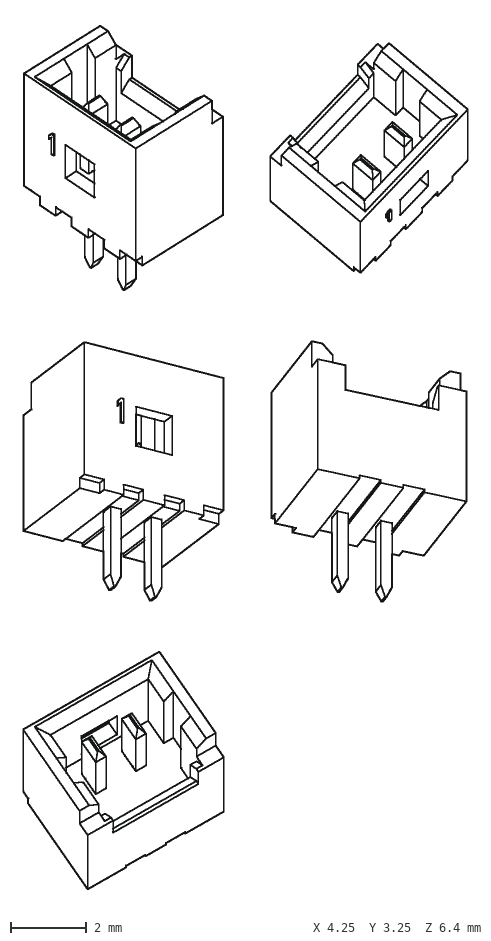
import cadquery as cq

WIDTH = 4.25
DEPTH = 3.2
HEIGHT = 4.2
OVERALL_HEIGHT = 6.4
SIDE_WALL = 0.3
LIP = 0.1
LEAD_IN = 0.3
FLOOR_TOP = 1.28

WALL = LIP + LEAD_IN
CAVITY_BACK = DEPTH - WALL
MOUTH_WIDTH = WIDTH - 2 * SIDE_WALL
CAVITY_WIDTH = MOUTH_WIDTH - 2 * LEAD_IN

SLOT_WIDTH = 0.85

SHOULDER_DROP = 0.79
NOTCH_DROP = 1.55
NOTCH_WIDTH = 2.66
SHOULDER_TOP = HEIGHT - SHOULDER_DROP
NOTCH_BOTTOM = HEIGHT - NOTCH_DROP

WINDOW_WIDTH = 1.1
WINDOW_BOTTOM = 1.535
WINDOW_HEIGHT = 1.15

PITCH = 1.25
TERMINAL_X = (-PITCH / 2, PITCH / 2)
TERMINAL_Y = 1.12
TERMINAL_WIDTH = 0.32
TIP_WIDTH = 0.045
BLADE_DEPTH = 0.705
BLADE_TIP_DEPTH = 0.44
BLADE_TOP = 3.55
BLADE_TIP_HEIGHT = 0.27
TAIL_DEPTH = 0.37
TAIL_TIP_DEPTH = 0.26
TAIL_TIP_HEIGHT = 0.3
TAIL_BOTTOM = HEIGHT - OVERALL_HEIGHT

RECESS_WIDTH = 0.6
RECESS_DEPTH = 0.24
RECESS_HEIGHT = 0.3
GROOVE_HEIGHT = 0.09

MARK_THICKNESS = 0.05
MARK_RIGHT = -0.95
MARK_STEM_WIDTH = 0.09
MARK_FLAG_WIDTH = 0.09
MARK_BOTTOM = 2.1
MARK_TOP = 2.8
MARK_FLAG_TOP = 2.695
MARK_FLAG_BOTTOM = 2.555
MARK_FLAG_ROOT = 2.67


def block(width, y_start, y_end, z_start, z_end, x_centre=0.0):
    """Rectangular block centred on x_centre."""
    size = (width, y_end - y_start, z_end - z_start)
    return cq.Workplane("XY").box(*size, centered=(True, False, False)).translate((x_centre, y_start, z_start))


def side_profile(points, width):
    """Prism with a Y-Z outline, extending equally to both sides of X = 0."""
    return cq.Workplane("YZ").polyline(points).close().extrude(width / 2, both=True)


def shell():
    """Outer body with its rear wall stepped down to the shoulders."""
    outline = [
        (0, 0),
        (DEPTH, 0),
        (DEPTH, SHOULDER_TOP),
        (CAVITY_BACK, SHOULDER_TOP),
        (CAVITY_BACK, HEIGHT),
        (0, HEIGHT),
    ]
    return side_profile(outline, WIDTH)


def cavity():
    """Mating cavity, with slots in both side walls between the guide ribs."""
    centre_y = DEPTH / 2
    main = block(CAVITY_WIDTH, WALL, CAVITY_BACK, FLOOR_TOP, HEIGHT)
    slots = block(MOUTH_WIDTH, centre_y - SLOT_WIDTH / 2, centre_y + SLOT_WIDTH / 2, FLOOR_TOP, HEIGHT)
    return main.union(slots)


def mouth_bevel():
    """Bevels along the front wall and both side walls, running out through the rear step."""
    bevel_bottom = HEIGHT - LEAD_IN
    front_slope = side_profile(
        [(WALL, bevel_bottom), (DEPTH, bevel_bottom), (DEPTH, HEIGHT), (LIP, HEIGHT)], MOUTH_WIDTH
    )
    side_slopes = (
        cq.Workplane("XZ")
        .polyline(
            [
                (-CAVITY_WIDTH / 2, bevel_bottom),
                (CAVITY_WIDTH / 2, bevel_bottom),
                (MOUTH_WIDTH / 2, HEIGHT),
                (-MOUTH_WIDTH / 2, HEIGHT),
            ]
        )
        .close()
        .extrude(-DEPTH)
    )
    return front_slope.intersect(side_slopes)


def rear_bevel(top, width):
    """Wedge that bevels the inner top edge of the rear wall where its top is at the given height."""
    return side_profile([(CAVITY_BACK, top - LEAD_IN), (DEPTH - LIP, top), (CAVITY_BACK, top)], width)


def rear_notch():
    """Central opening in the rear wall with a bevel below it."""
    opening = block(NOTCH_WIDTH, CAVITY_BACK, DEPTH, NOTCH_BOTTOM, SHOULDER_TOP)
    return opening.union(rear_bevel(NOTCH_BOTTOM, NOTCH_WIDTH))


def window():
    """Opening through the front wall."""
    return block(WINDOW_WIDTH, 0, WALL, WINDOW_BOTTOM, WINDOW_BOTTOM + WINDOW_HEIGHT)


def underside_recesses():
    """Recesses along the front bottom edge and a shallow groove from front to rear under each terminal."""
    corner_x = (WIDTH - RECESS_WIDTH) / 2
    recesses = cq.Workplane("XY")
    for x in (-corner_x, *TERMINAL_X, corner_x):
        recesses = recesses.union(block(RECESS_WIDTH, 0, RECESS_DEPTH, 0, RECESS_HEIGHT, x))
    for x in TERMINAL_X:
        recesses = recesses.union(block(RECESS_WIDTH, 0, DEPTH, 0, GROOVE_HEIGHT, x))
    return recesses


def make_housing():
    housing = shell().cut(cavity()).cut(mouth_bevel()).cut(rear_bevel(SHOULDER_TOP, CAVITY_WIDTH))
    housing = housing.cut(rear_notch()).cut(window()).cut(underside_recesses())
    for x in TERMINAL_X:
        housing = housing.cut(terminal_bar(x, TAIL_DEPTH, 0, FLOOR_TOP))
    return housing


def terminal_bar(x, depth, z_start, z_end):
    """Straight part of a terminal."""
    return block(TERMINAL_WIDTH, TERMINAL_Y - depth / 2, TERMINAL_Y + depth / 2, z_start, z_end, x)


def terminal_tip(x, depth, tip_depth, z_base, z_tip):
    """Tapered end of a terminal, from its full section to a narrow flat."""
    return (
        cq.Workplane("XY", origin=(x, TERMINAL_Y, z_base))
        .rect(TERMINAL_WIDTH, depth)
        .workplane(offset=z_tip - z_base)
        .rect(TIP_WIDTH, tip_depth)
        .loft(ruled=True)
    )


def make_blade(x):
    """Contact blade standing on the cavity floor."""
    tip_base = BLADE_TOP - BLADE_TIP_HEIGHT
    bar = terminal_bar(x, BLADE_DEPTH, FLOOR_TOP, tip_base)
    return bar.union(terminal_tip(x, BLADE_DEPTH, BLADE_TIP_DEPTH, tip_base, BLADE_TOP))


def make_tail(x):
    """Solder tail reaching from the cavity floor down below the housing."""
    tip_base = TAIL_BOTTOM + TAIL_TIP_HEIGHT
    bar = terminal_bar(x, TAIL_DEPTH, tip_base, FLOOR_TOP)
    return bar.union(terminal_tip(x, TAIL_DEPTH, TAIL_TIP_DEPTH, tip_base, TAIL_BOTTOM))


def make_mark():
    """Raised stem with a slanted flag on the front face."""
    stem_left = MARK_RIGHT - MARK_STEM_WIDTH
    flag_left = stem_left - MARK_FLAG_WIDTH
    outline = [
        (MARK_RIGHT, MARK_BOTTOM),
        (MARK_RIGHT, MARK_TOP),
        (stem_left, MARK_TOP),
        (flag_left, MARK_FLAG_TOP),
        (flag_left, MARK_FLAG_BOTTOM),
        (stem_left, MARK_FLAG_ROOT),
        (stem_left, MARK_BOTTOM),
    ]
    return cq.Workplane("XZ").polyline(outline).close().extrude(MARK_THICKNESS)


housing = make_housing()
mark = make_mark()
blades = [make_blade(x).val() for x in TERMINAL_X]
tails = [make_tail(x).val() for x in TERMINAL_X]

result = cq.Compound.makeCompound([housing.val(), mark.val(), *blades, *tails])